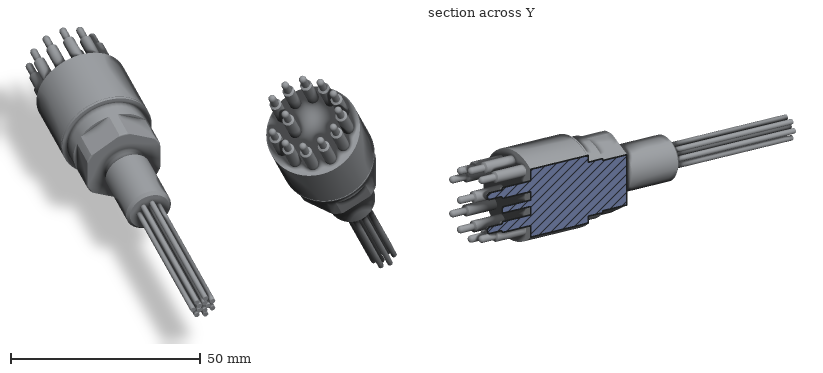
import cadquery as cq
import math

pin_shoulder_x = 4.75
body_front_x = 14.29
body_rear_x = 33.4
flats_front_x = 38.1
collar_rear_x = 46.04
sleeve_front_x = 48.3
sleeve_rear_x = 65.05
wire_end_x = 105.05

body_diameter = 25.35
body_groove_front_x = 32.6
body_groove_width = 0.3
body_groove_depth = 0.1
collar_diameter = 22.55
collar_edge_round = 0.4
across_flats = 20.6
flat_count = 6
neck_diameter = 10.87
neck_root_round = 0.6
sleeve_diameter = 12.7
sleeve_chamfer = 0.8

pin_diameter = 3.17
tip_diameter = 1.99
tip_edge_round = 0.94
pin_shoulder_length = 0.35
pin_circle_radius = 19.05 / 2
pin_positions_on_circle = 12
inset_pin_radius = pin_circle_radius / 2

wire_diameter = 1.47
outer_wire_circle_radius = 2.9
outer_wire_count = 7
inner_wire_circle_radius = 1.35
inner_wire_count = 5

embed = 1.0


def cylinder(start_x, end_x, diameter, y=0.0, z=0.0):
    """Solid cylinder parallel to X, centred at (y, z)."""
    return (
        cq.Workplane("YZ", origin=(start_x, y, z))
        .circle(diameter / 2)
        .extrude(end_x - start_x)
    )


def around_axis(radius, degrees):
    """Y and Z of a point on a circle about the axis; the angle runs from +Y to +Z."""
    angle = math.radians(degrees)
    return radius * math.cos(angle), radius * math.sin(angle)


def make_body():
    """Plain drum with a fine groove around it close to the collar."""
    groove_rear_x = body_groove_front_x + body_groove_width
    groove = cylinder(body_groove_front_x, groove_rear_x, body_diameter).cut(
        cylinder(body_groove_front_x, groove_rear_x, body_diameter - 2 * body_groove_depth)
    )
    return cylinder(body_front_x, body_rear_x, body_diameter).cut(groove)


def make_collar():
    """Round collar with wrench flats milled on its rear part, two of them facing +Y and -Y."""
    collar = cylinder(body_rear_x, collar_rear_x, collar_diameter)
    collar = collar.faces(">X").edges().fillet(collar_edge_round)
    hexagon = (
        cq.Workplane("YZ", origin=(flats_front_x, 0, 0))
        .polygon(flat_count, across_flats, circumscribed=True)
        .extrude(collar_rear_x - flats_front_x)
    )
    flats_ring = cylinder(flats_front_x, collar_rear_x, body_diameter).cut(hexagon)
    return collar.cut(flats_ring)


def make_neck():
    """Neck behind the collar, blended into the collar face by a concave round."""
    neck_radius = neck_diameter / 2
    root_radius = neck_radius + neck_root_round
    blend_end_x = collar_rear_x + neck_root_round
    arc_offset = neck_root_round * (1 - math.sqrt(0.5))
    return (
        cq.Workplane("XY")
        .moveTo(collar_rear_x, 0)
        .lineTo(collar_rear_x, root_radius)
        .threePointArc((collar_rear_x + arc_offset, neck_radius + arc_offset), (blend_end_x, neck_radius))
        .lineTo(sleeve_front_x, neck_radius)
        .lineTo(sleeve_front_x, 0)
        .close()
        .revolve(360, (0, 0, 0), (1, 0, 0))
    )


def make_sleeve():
    sleeve = cylinder(sleeve_front_x, sleeve_rear_x, sleeve_diameter)
    return sleeve.edges("%CIRCLE").chamfer(sleeve_chamfer)


def make_pin(y, z):
    """Stepped pin with a nearly hemispherical tip and a conical shoulder."""
    tip_radius = tip_diameter / 2
    tip_flat_radius = tip_radius - tip_edge_round
    arc_offset = tip_edge_round * math.sqrt(0.5)
    pin = (
        cq.Workplane("XY")
        .moveTo(0, 0)
        .lineTo(0, tip_flat_radius)
        .threePointArc(
            (tip_edge_round - arc_offset, tip_flat_radius + arc_offset),
            (tip_edge_round, tip_radius),
        )
        .lineTo(pin_shoulder_x, tip_radius)
        .lineTo(pin_shoulder_x + pin_shoulder_length, pin_diameter / 2)
        .lineTo(body_front_x + embed, pin_diameter / 2)
        .lineTo(body_front_x + embed, 0)
        .close()
        .revolve(360, (0, 0, 0), (1, 0, 0))
    )
    return pin.translate((0, y, z))


def make_wires(circle_radius, count, first_angle):
    """Ring of evenly spaced wires, starting at the given angle from +Y."""
    wires = cq.Workplane("YZ")
    for index in range(count):
        y, z = around_axis(circle_radius, first_angle + index * 360 / count)
        wires = wires.add(cylinder(sleeve_rear_x - embed, wire_end_x, wire_diameter, y, z))
    return wires.combine()


result = make_body().union(make_collar()).union(make_neck()).union(make_sleeve())

result = result.union(make_pin(inset_pin_radius, 0))
for position in range(1, pin_positions_on_circle):
    pin_y, pin_z = around_axis(pin_circle_radius, position * 360 / pin_positions_on_circle)
    result = result.union(make_pin(pin_y, pin_z))

result = result.union(make_wires(outer_wire_circle_radius, outer_wire_count, 180))
result = result.union(make_wires(inner_wire_circle_radius, inner_wire_count, 0))